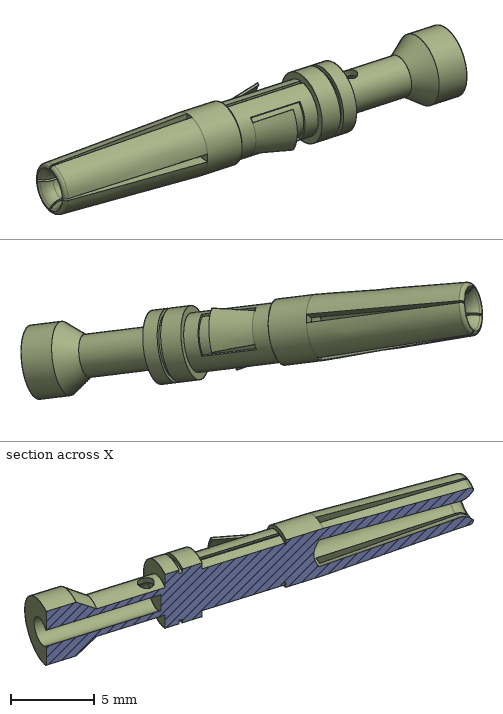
import cadquery as cq
import math


length = 28.5
rim_round = 0.25
slot_end = 10.03
front_collar_end = 12.5
sleeve_start = 12.6
tongue_root = 13.62
tongue_tip = 16.22
window_end = 17.15
collar_start = 18.1
groove_start = 19.4
groove_end = 19.65
collar_end = 20.58
crimp_hole_position = 21.52
cone_start = 25.15
head_start = 26.5

rim_radius = 1.62
front_collar_radius = 4.02 / 2
core_radius = 1.65
sleeve_radius = 3.62 / 2
collar_radius = 2.25
groove_radius = 2.0
neck_radius = 1.3
head_radius = collar_radius

mouth_radius = rim_radius - rim_round
flare_radius = 1.25
flare_start = 0.1
throat_radius = 0.95
throat_position = 0.85
socket_radius = 1.25
socket_depth = slot_end + 0.28
drill_point_angle = 118.0

slot_root_width = 0.55
slot_tip_width = 0.1

seam_width = 0.23
window_half_angle = 47.0
tongue_half_angle = 36.0
tongue_tip_radius = 2.4
tongue_thickness = sleeve_radius - core_radius
root_overlap = 0.09

clearance = 0.28

wire_bore_radius = 0.95
wire_bore_end = 20.85
crimp_hole_diameter = 1.0


def revolve(half_profile):
    """Full solid of revolution about Y from a closed half profile."""
    return half_profile.revolve(360, (0, 0, 0), (0, 1, 0))


def sector(points, half_angle):
    """Part of a revolution about Y from (radius, Y) points, centred on the +X direction."""
    profile = cq.Workplane("XY").transformed(rotate=(0, half_angle, 0)).polyline(points).close()
    return profile.revolve(2 * half_angle, (0, 0, 0), (0, -1, 0))


def turned_body():
    """Outer shape, with a quarter round on the tip rim."""
    round_middle = rim_round * math.sqrt(0.5)
    half_profile = (
        cq.Workplane("XY")
        .lineTo(mouth_radius, 0)
        .threePointArc((mouth_radius + round_middle, rim_round - round_middle), (rim_radius, rim_round))
        .lineTo(front_collar_radius, slot_end)
        .lineTo(front_collar_radius, front_collar_end)
        .lineTo(core_radius, front_collar_end)
        .lineTo(core_radius, sleeve_start)
        .lineTo(sleeve_radius, sleeve_start)
        .lineTo(sleeve_radius, collar_start)
        .lineTo(collar_radius, collar_start)
        .lineTo(collar_radius, groove_start)
        .lineTo(groove_radius, groove_start)
        .lineTo(groove_radius, groove_end)
        .lineTo(collar_radius, groove_end)
        .lineTo(collar_radius, collar_end)
        .lineTo(neck_radius, collar_end)
        .lineTo(neck_radius, cone_start)
        .lineTo(head_radius, head_start)
        .lineTo(head_radius, length)
        .lineTo(0, length)
        .close()
    )
    return revolve(half_profile)


def socket():
    """Socket bore: flared mouth rounding into the throat, conical bore and drill point."""
    flare_width = flare_radius - throat_radius
    flare_length = throat_position - flare_start
    flare_round = (flare_width**2 + flare_length**2) / (2 * flare_width)
    middle_angle = math.asin(flare_length / flare_round) / 2
    flare_middle = (
        throat_radius + flare_round * (1 - math.cos(middle_angle)),
        throat_position - flare_round * math.sin(middle_angle),
    )
    point_length = socket_radius / math.tan(math.radians(drill_point_angle / 2))
    half_profile = (
        cq.Workplane("XY")
        .lineTo(mouth_radius, 0)
        .lineTo(flare_radius, flare_start)
        .threePointArc(flare_middle, (throat_radius, throat_position))
        .lineTo(socket_radius, socket_depth)
        .lineTo(0, socket_depth + point_length)
        .close()
    )
    return revolve(half_profile)


def finger_slot():
    """Slot through the full diameter, narrowing towards the tip."""
    return (
        cq.Workplane("XY")
        .polyline([
            (-slot_tip_width / 2, 0),
            (slot_tip_width / 2, 0),
            (slot_root_width / 2, slot_end),
            (-slot_root_width / 2, slot_end),
        ])
        .close()
        .extrude(front_collar_radius + clearance, both=True)
    )


def sleeve_seam():
    """Lengthwise gap on top of the sleeve, down to the core."""
    seam_length = collar_start - sleeve_start
    block = cq.Workplane("XY").box(seam_width, seam_length, collar_radius, centered=(True, False, False))
    core = cq.Workplane("XZ").circle(core_radius).extrude(-seam_length)
    return block.cut(core).translate((0, sleeve_start, 0))


def tongue_window():
    return sector([
        (core_radius, tongue_root),
        (collar_radius, tongue_root),
        (collar_radius, window_end),
        (core_radius, window_end),
    ], window_half_angle)


def tongue():
    """Latch tongue bent outwards, its root buried in the sleeve."""
    return sector([
        (core_radius, tongue_root - root_overlap),
        (sleeve_radius, tongue_root - root_overlap),
        (sleeve_radius, tongue_root),
        (tongue_tip_radius, tongue_tip),
        (tongue_tip_radius - tongue_thickness, tongue_tip),
        (core_radius, tongue_root),
    ], tongue_half_angle)


def wire_bore():
    depth = length - wire_bore_end
    return cq.Workplane("XZ", origin=(0, length, 0)).circle(wire_bore_radius).extrude(depth)


def crimp_hole():
    """Inspection hole from the top into the wire bore."""
    hole = cq.Workplane("XY").circle(crimp_hole_diameter / 2).extrude(neck_radius + clearance)
    return hole.translate((0, crimp_hole_position, 0))


contact = turned_body().cut(sleeve_seam())

for side_angle in (0, 180):
    contact = contact.cut(tongue_window().rotate((0, 0, 0), (0, 1, 0), side_angle))
    contact = contact.union(tongue().rotate((0, 0, 0), (0, 1, 0), side_angle))

contact = contact.cut(socket())
for slot_angle in (0, 90):
    contact = contact.cut(finger_slot().rotate((0, 0, 0), (0, 1, 0), slot_angle))

result = contact.cut(wire_bore()).cut(crimp_hole())